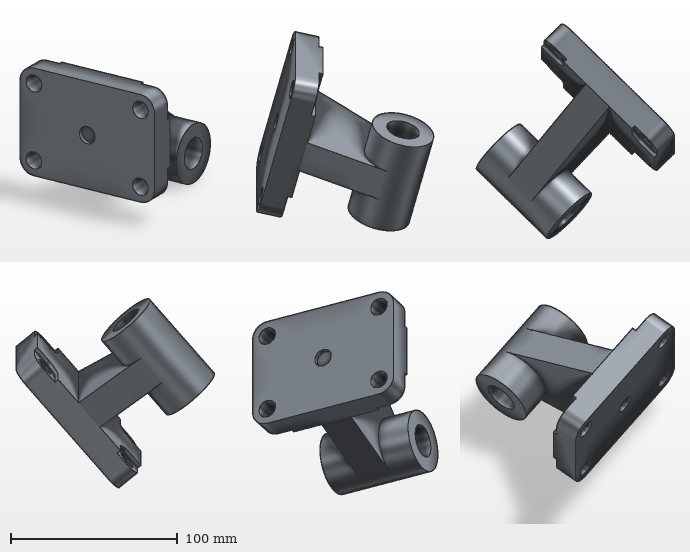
import cadquery as cq
import math

plate_width = 96.0
plate_height = 70.0
plate_thickness = 17.0
corner_radius = 10.0

hole_diameter = 11.0
recess_depth = 3.0
hole_x = plate_width / 2 - corner_radius
hole_z = plate_height / 2 - corner_radius

seat_radius = 9.0
seat_depth = 2.5
seat_size = corner_radius + seat_radius

barrel_length = 60.0
barrel_radius = 19.0
bore_diameter = 20.0
barrel_y = 71.0
barrel_z = -30.0

web_thickness = 20.0


def x_cylinder(radius, length):
    """Cylinder along X on the barrel axis, centred on X = 0."""
    return cq.Workplane("YZ").center(barrel_y, barrel_z).circle(radius).extrude(length / 2, both=True)


def tangent_point(y, z, side):
    """Point where a line from (y, z) touches the barrel; side is +1 for above, -1 for below."""
    dy = y - barrel_y
    dz = z - barrel_z
    direction = math.atan2(dz, dy)
    angle = direction - side * math.acos(barrel_radius / math.hypot(dy, dz))
    return (barrel_y + barrel_radius * math.cos(angle), barrel_z + barrel_radius * math.sin(angle))


def make_plate():
    plate = (
        cq.Workplane("XY")
        .box(plate_width, plate_thickness, plate_height)
        .translate((0, plate_thickness / 2, 0))
        .edges("|Y")
        .fillet(corner_radius)
    )
    for x_side in (-1, 1):
        for z_side in (-1, 1):
            plate = plate.cut(make_seat(x_side, z_side))
    return plate


def make_seat(x_side, z_side):
    """Cutter open to both outer edges, with its inner corner rounded."""
    inner_x = x_side * (plate_width / 2 - seat_size)
    inner_z = z_side * (plate_height / 2 - seat_size)
    outer_x = x_side * plate_width / 2
    outer_z = z_side * plate_height / 2
    arc_x = x_side * (hole_x - seat_radius * math.sqrt(0.5))
    arc_z = z_side * (hole_z - seat_radius * math.sqrt(0.5))
    return (
        cq.Workplane("XZ", origin=(0, plate_thickness, 0))
        .moveTo(outer_x, outer_z)
        .lineTo(inner_x, outer_z)
        .lineTo(inner_x, z_side * hole_z)
        .threePointArc((arc_x, arc_z), (x_side * hole_x, inner_z))
        .lineTo(outer_x, inner_z)
        .close()
        .extrude(seat_depth)
    )


def make_web():
    top = plate_height / 2
    upper_tangent = tangent_point(plate_thickness, top, 1)
    lower_tangent = tangent_point(plate_thickness, -top, -1)
    return (
        cq.Workplane("YZ")
        .moveTo(plate_thickness, -top)
        .lineTo(plate_thickness, top)
        .lineTo(*upper_tangent)
        .lineTo(barrel_y, barrel_z)
        .lineTo(*lower_tangent)
        .close()
        .extrude(web_thickness / 2, both=True)
    )


def make_mounting_holes():
    return (
        cq.Workplane("XZ")
        .rect(2 * hole_x, 2 * hole_z, forConstruction=True)
        .vertices()
        .circle(hole_diameter / 2)
        .extrude(-plate_thickness)
    )


barrel = x_cylinder(barrel_radius, barrel_length)
bore = x_cylinder(bore_diameter / 2, barrel_length)
recess = cq.Workplane("XZ").circle(hole_diameter / 2).extrude(-recess_depth)

result = make_plate().union(make_web()).union(barrel)
result = result.cut(bore).cut(make_mounting_holes()).cut(recess)